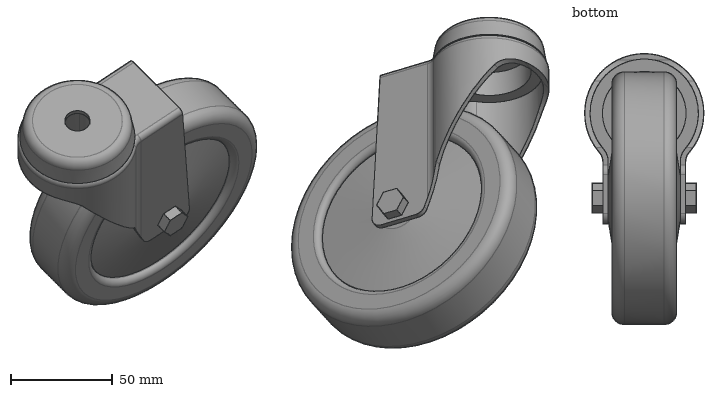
import cadquery as cq
import math


wheel_radius = 62.5
wheel_half_width = 16.0
tread_round = 6.2
recess_radius = 44.7
recess_depth = 3.7
recess_round = 3.2
hub_radius = 11.1
axle_y = 42.0
axle_z = wheel_radius

hex_across_corners = 15.0
hex_half_length = 25.8

sheet = 2.7
swivel_diameter = 59.0
swivel_radius = swivel_diameter / 2
leg_half_width = 20.5
neck_fillet = 6.7
fork_top_z = 145.5
fork_edge_round = 2.9
leg_below_axle = 8.6
leg_bottom_z = axle_z - leg_below_axle
leg_corner_round = 5.1
leg_rear_y = 54.5
plate_rear_y = 50.2
rim_bottom_z = 132.1
rim_start_y = -19.7
rim_corner_round = 12.7
knee_y = 17.0
knee_z = 79.5
leg_front_y = 23.5

cap_top_z = 159.0
cap_base_radius = 28.5
cap_taper = 8.5
cap_round = 5.0
bolt_hole_radius = 6.2
bore_radius = 20.7
cap_roof = 2.4

overshoot = 15.9


def make_wheel():
    hub_face = leg_half_width - sheet
    recess_floor = wheel_half_width - recess_depth
    corner_gap = 1 - math.sqrt(0.5)
    half = (
        cq.Workplane("XY")
        .lineTo(hub_face, 0)
        .lineTo(hub_face, hub_radius)
        .lineTo(recess_floor, recess_radius)
        .lineTo(wheel_half_width - recess_round, recess_radius)
        .threePointArc(
            (wheel_half_width - corner_gap * recess_round, recess_radius + corner_gap * recess_round),
            (wheel_half_width, recess_radius + recess_round),
        )
        .lineTo(wheel_half_width, wheel_radius - tread_round)
        .threePointArc(
            (wheel_half_width - corner_gap * tread_round, wheel_radius - corner_gap * tread_round),
            (wheel_half_width - tread_round, wheel_radius),
        )
        .lineTo(0, wheel_radius)
        .close()
        .revolve(360, (0, 0, 0), (1, 0, 0))
    )
    return half.union(half.mirror("YZ")).translate((0, axle_y, axle_z))


def make_axle():
    return (
        cq.Workplane("YZ")
        .center(axle_y, axle_z)
        .polygon(6, hex_across_corners)
        .extrude(hex_half_length, both=True)
    )


def fork_plan(inset, top_z):
    """Solid under the fork's plan outline, moved inwards by inset."""
    radius = swivel_radius - inset
    half_width = leg_half_width - inset
    hollow = neck_fillet + inset
    rear_y = leg_rear_y + overshoot
    hollow_x = half_width + hollow
    hollow_y = math.sqrt((radius + hollow) ** 2 - hollow_x ** 2)
    angle = math.atan2(hollow_y, hollow_x)
    touch_x = radius * math.cos(angle)
    touch_y = radius * math.sin(angle)
    mid_x = hollow_x - hollow * math.cos(angle / 2)
    mid_y = hollow_y - hollow * math.sin(angle / 2)
    return (
        cq.Workplane("XY")
        .moveTo(touch_x, touch_y)
        .threePointArc((0, -radius), (-touch_x, touch_y))
        .threePointArc((-mid_x, mid_y), (-half_width, hollow_y))
        .lineTo(-half_width, rear_y)
        .lineTo(half_width, rear_y)
        .lineTo(half_width, hollow_y)
        .threePointArc((mid_x, mid_y), (touch_x, touch_y))
        .close()
        .extrude(top_z)
    )


def fork_side_body():
    """Solid with the fork's side outline, as wide as the swivel housing."""
    front_slope = (leg_front_y - knee_y) / (knee_z - axle_z)
    rear_slope = (leg_rear_y - plate_rear_y) / (fork_top_z - axle_z)
    leg_front_bottom_y = leg_front_y + front_slope * leg_below_axle
    leg_rear_bottom_y = leg_rear_y + rear_slope * leg_below_axle
    outline = [
        (-swivel_radius - overshoot, fork_top_z),
        (-swivel_radius - overshoot, rim_bottom_z),
        (rim_start_y, rim_bottom_z),
        (knee_y, knee_z),
        (leg_front_bottom_y, leg_bottom_z),
        (leg_rear_bottom_y, leg_bottom_z),
        (plate_rear_y, fork_top_z),
    ]
    body = cq.Workplane("YZ").polyline(outline).close().extrude(swivel_radius, both=True)
    body = body.edges(cq.NearestToPointSelector((0, rim_start_y, rim_bottom_z))).fillet(rim_corner_round)
    for corner_y in (leg_front_bottom_y, leg_rear_bottom_y):
        corner = cq.NearestToPointSelector((0, corner_y, leg_bottom_z))
        body = body.edges(corner).fillet(leg_corner_round)
    return body


def make_fork():
    outer = fork_plan(0, fork_top_z).faces(">Z").edges("not >Y").fillet(fork_edge_round)
    inner = fork_plan(sheet, fork_top_z - sheet)
    return outer.cut(inner).intersect(fork_side_body())


def make_cap():
    height = cap_top_z - fork_top_z
    return (
        cq.Workplane("XY", origin=(0, 0, fork_top_z))
        .circle(cap_base_radius)
        .extrude(height, taper=cap_taper)
        .faces(">Z")
        .edges()
        .fillet(cap_round)
    )


def make_bore():
    """Bolt hole in the roof of the cap, opening into a wider bore through the fork plate."""
    plate_bottom_z = fork_top_z - sheet
    bore = cq.Workplane("XY", origin=(0, 0, plate_bottom_z)).circle(bore_radius)
    bolt_hole = cq.Workplane("XY", origin=(0, 0, plate_bottom_z)).circle(bolt_hole_radius)
    return bore.extrude(cap_top_z - cap_roof - plate_bottom_z).union(
        bolt_hole.extrude(cap_top_z - plate_bottom_z)
    )


mounted_fork = make_fork().union(make_cap()).cut(make_bore())
result = mounted_fork.union(make_wheel()).union(make_axle())